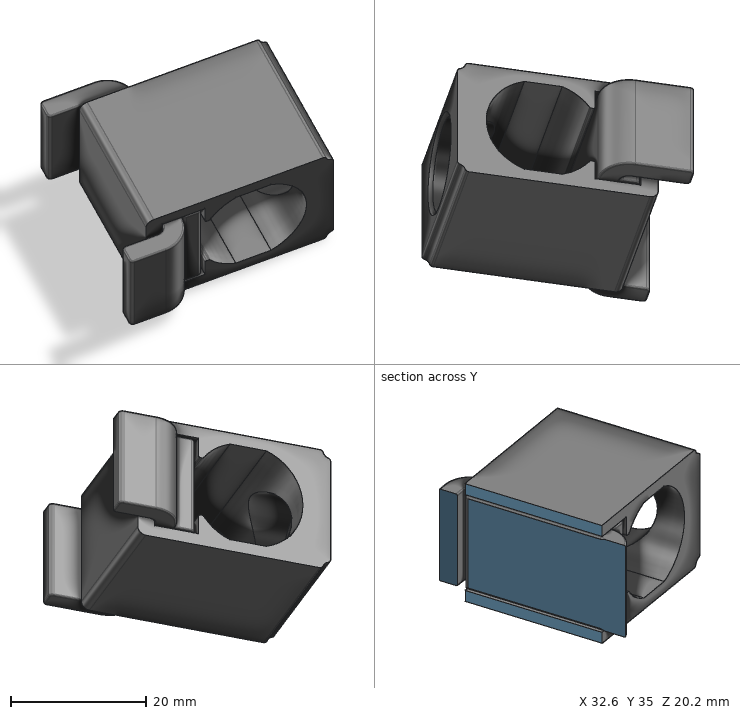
import cadquery as cq
import math

HOUSING_WIDTH = 23.8
HOUSING_DEPTH = 30.52
HOUSING_HEIGHT = 20.2
FRONT_EDGE_RADIUS = 1.25

GROOVE_RADIUS = 1.25
GROOVE_EDGE_RADIUS = 0.55

BORE_RADIUS = 8.65
BACK_WALL = 4.4
OPENING_HEIGHT = 16.3
BORE_Y = HOUSING_DEPTH - BACK_WALL - BORE_RADIUS

FRONT_WALL = 2.65
SLOT_DEPTH = 6.93
NECK_HEIGHT = 9.8
NECK_EDGE_RADIUS = 0.28

BACK_HOLE_DIAMETER = 14.35
BACK_HOLE_CHAMFER = 0.6
CHAMFER_ANGLE = 45

HOOK_THICKNESS = 3.2
HOOK_HEIGHT = 15.75
HOOK_LENGTH = 28.28
ARM_CLEARANCE = 0.07
RIGHT_ARM_FRONT_Y = FRONT_WALL + ARM_CLEARANCE
LEFT_ARM_FRONT_Y = RIGHT_ARM_FRONT_Y + HOOK_THICKNESS
BEND_INNER_RADIUS = 1.47
BEND_OUTER_RADIUS = BEND_INNER_RADIUS + HOOK_THICKNESS
HOOK_END_RADIUS = 0.63
HOOK_RIM_RADIUS = 0.25
OVERALL_DEPTH = 35.0
LEG_END_Y = HOUSING_DEPTH - OVERALL_DEPTH
LEFT_HOOK_OUTER_X = -16.38
RIGHT_HOOK_OUTER_X = 16.25


def bar_along_x(depth, height, y_start):
    """A box through the full housing width, centred on Z = 0, that starts at y_start."""
    return cq.Workplane("XY").box(HOUSING_WIDTH, depth, height).translate((0, y_start + depth / 2, 0))


def rod_along_x(radius, y, z):
    """A cylinder through the full housing width."""
    return (
        cq.Workplane("YZ", origin=(-HOUSING_WIDTH / 2, 0, 0))
        .center(y, z)
        .circle(radius)
        .extrude(HOUSING_WIDTH)
    )


def make_block():
    """The outer block: rounded front edges and softened grooves along the back edges."""
    block = bar_along_x(HOUSING_DEPTH, HOUSING_HEIGHT, 0)
    block = block.faces("<Y").edges("|X").fillet(FRONT_EDGE_RADIUS)
    for z in (-HOUSING_HEIGHT / 2, HOUSING_HEIGHT / 2):
        block = block.cut(rod_along_x(GROOVE_RADIUS, HOUSING_DEPTH, z))
    groove_zone = cq.selectors.BoxSelector(
        (-HOUSING_WIDTH, HOUSING_DEPTH - 2 * GROOVE_RADIUS, -HOUSING_HEIGHT),
        (HOUSING_WIDTH, HOUSING_DEPTH + GROOVE_RADIUS, HOUSING_HEIGHT),
    )
    return block.edges("|X").edges(groove_zone).fillet(GROOVE_EDGE_RADIUS)


def make_opening():
    """The space cut along X: flattened bore, neck and arm slot."""
    bore = rod_along_x(BORE_RADIUS, BORE_Y, 0)
    bore = bore.intersect(bar_along_x(HOUSING_DEPTH, OPENING_HEIGHT, 0))
    slot = bar_along_x(SLOT_DEPTH, OPENING_HEIGHT, FRONT_WALL)
    neck = bar_along_x(BORE_Y - FRONT_WALL, NECK_HEIGHT, FRONT_WALL)
    opening = bore.union(neck).union(slot)

    slot_back_y = FRONT_WALL + SLOT_DEPTH
    lip_edges = cq.selectors.BoxSelector(
        (-HOUSING_WIDTH, slot_back_y - NECK_EDGE_RADIUS, -NECK_HEIGHT / 2 - NECK_EDGE_RADIUS),
        (HOUSING_WIDTH, BORE_Y, NECK_HEIGHT / 2 + NECK_EDGE_RADIUS),
    )
    return opening.edges("|X").edges(lip_edges).fillet(NECK_EDGE_RADIUS)


def make_back_hole():
    """The round cutter through the back wall, widened by a chamfer at the back face."""
    radius = BACK_HOLE_DIAMETER / 2
    back_face = cq.Workplane("XZ", origin=(0, HOUSING_DEPTH, 0))
    hole = back_face.circle(radius).extrude(HOUSING_DEPTH - BORE_Y)
    flare = back_face.circle(radius + BACK_HOLE_CHAMFER).extrude(BACK_HOLE_CHAMFER, taper=CHAMFER_ANGLE)
    return hole.union(flare)


def make_housing():
    """The block with its opening along X and its back hole."""
    return make_block().cut(make_opening()).cut(make_back_hole())


def make_hook(outer_x, arm_front_y, side):
    """One hook whose leg is on the given side (-1 left, 1 right) and whose arm runs to the other."""
    inner_x = outer_x - side * HOOK_THICKNESS
    bend_x = outer_x - side * BEND_OUTER_RADIUS
    bend_y = arm_front_y - BEND_INNER_RADIUS
    arm_back_y = arm_front_y + HOOK_THICKNESS
    arm_end_x = outer_x - side * HOOK_LENGTH
    diagonal = math.sqrt(0.5)

    def bend_middle(radius):
        """The point halfway round a bend arc of this radius."""
        return (bend_x + side * radius * diagonal, bend_y + radius * diagonal)

    bar = (
        cq.Workplane("XY", origin=(0, 0, -HOOK_HEIGHT / 2))
        .moveTo(outer_x, LEG_END_Y)
        .lineTo(outer_x, bend_y)
        .threePointArc(bend_middle(BEND_OUTER_RADIUS), (bend_x, arm_back_y))
        .lineTo(arm_end_x, arm_back_y)
        .lineTo(arm_end_x, arm_front_y)
        .lineTo(bend_x, arm_front_y)
        .threePointArc(bend_middle(BEND_INNER_RADIUS), (inner_x, bend_y))
        .lineTo(inner_x, LEG_END_Y)
        .close()
        .extrude(HOOK_HEIGHT)
    )
    leg_end = bar.faces("<Y").edges("|Z")
    arm_end = bar.faces("<X" if side > 0 else ">X").edges("|Z")
    bar = bar.newObject(leg_end.vals() + arm_end.vals()).fillet(HOOK_END_RADIUS)
    return bar.faces("<Z or >Z").edges().fillet(HOOK_RIM_RADIUS)


housing = make_housing()
right_hook = make_hook(RIGHT_HOOK_OUTER_X, RIGHT_ARM_FRONT_Y, 1)
left_hook = make_hook(LEFT_HOOK_OUTER_X, LEFT_ARM_FRONT_Y, -1)

result = cq.Compound.makeCompound([housing.val(), right_hook.val(), left_hook.val()])